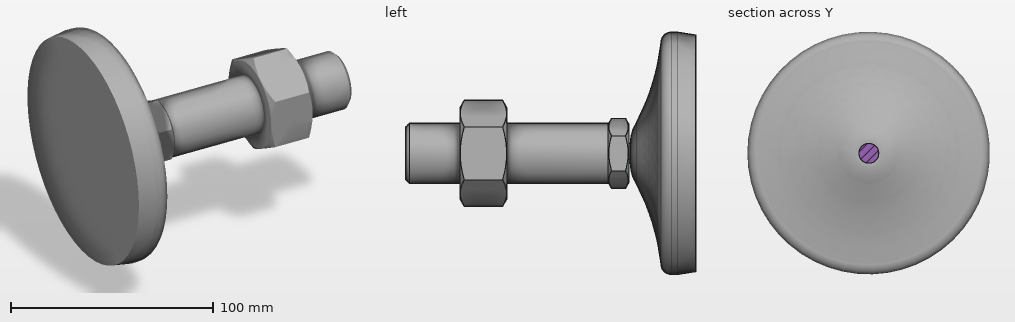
import cadquery as cq
import math

total_length = 143.5

pad_diameter = 120.0
pad_bottom_diameter = 117.1
pad_taper_height = 9.2
pad_rim_top = 12.0
pad_edge_radius = 5.2
flare_middle = (33.0, 22.0)
crown_edge = (15.0, 29.4)
crown_middle = (11.0, 31.4)
crown_flat_radius = 6.5
pad_height = 32.3

neck_diameter = 10.0
stud_diameter = 30.0
stud_chamfer = 2.0

wrench_hex_flats = stud_diameter
wrench_hex_start = 33.0
wrench_hex_end = 43.5
nut_flats = 45.5
nut_start = 93.4
nut_end = 116.7
hex_chamfer_angle = 30.0
wrench_hex_face_ratio = 0.95
nut_face_ratio = 0.99


def make_pad():
    """Revolve the flared pad about the Y axis."""
    rim_radius = pad_diameter / 2
    edge_center_x = rim_radius - pad_edge_radius
    edge_offset = pad_edge_radius * math.sqrt(0.5)
    profile = (
        cq.Workplane("XY")
        .lineTo(pad_bottom_diameter / 2, 0)
        .lineTo(rim_radius, pad_taper_height)
        .lineTo(rim_radius, pad_rim_top)
        .threePointArc(
            (edge_center_x + edge_offset, pad_rim_top + edge_offset),
            (edge_center_x, pad_rim_top + pad_edge_radius),
        )
        .threePointArc(flare_middle, crown_edge)
        .threePointArc(crown_middle, (crown_flat_radius, pad_height))
        .lineTo(0, pad_height)
        .close()
    )
    return profile.revolve(360, (0, 0, 0), (0, 1, 0))


def make_cylinder(diameter, start, end):
    """Cylinder on the Y axis between two heights."""
    plane = cq.Workplane("XZ", origin=(0, start, 0))
    return plane.circle(diameter / 2).extrude(start - end)


def make_hexagon(flats, start, end, face_ratio):
    """Hexagon with flats facing X, its corners cut by a cone at both ends."""
    corner_diameter = flats / math.cos(math.pi / 6)
    prism = (
        cq.Workplane("XZ", origin=(0, start, 0))
        .transformed(rotate=(0, 0, 30))
        .polygon(6, corner_diameter)
        .extrude(start - end)
    )
    corner_radius = corner_diameter / 2
    face_radius = flats * face_ratio / 2
    drop = (corner_radius - face_radius) * math.tan(math.radians(hex_chamfer_angle))
    envelope = (
        cq.Workplane("XY")
        .moveTo(0, start)
        .lineTo(face_radius, start)
        .lineTo(corner_radius, start + drop)
        .lineTo(corner_radius, end - drop)
        .lineTo(face_radius, end)
        .lineTo(0, end)
        .close()
        .revolve(360, (0, 0, 0), (0, 1, 0))
    )
    return prism.intersect(envelope)


neck = make_cylinder(neck_diameter, pad_height, wrench_hex_start)
stud = make_cylinder(stud_diameter, wrench_hex_end, total_length)
stud = stud.faces(">Y").chamfer(stud_chamfer)
wrench_hex = make_hexagon(wrench_hex_flats, wrench_hex_start, wrench_hex_end, wrench_hex_face_ratio)
nut = make_hexagon(nut_flats, nut_start, nut_end, nut_face_ratio)

result = make_pad().union(neck).union(wrench_hex).union(stud).union(nut)